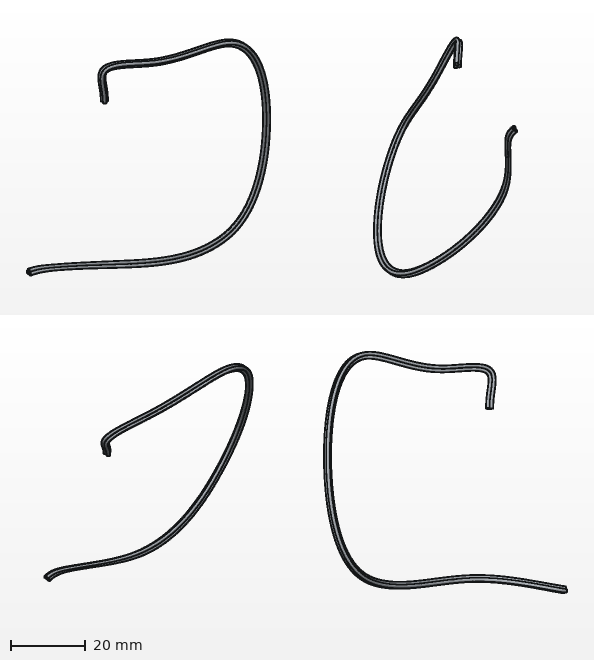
import cadquery as cq
import math

WIRE_COUNT = 3
WIRE_DIAMETER = 1.0
FIRST_WIRE_ANGLE = 90

WIRE_OFFSET = WIRE_DIAMETER / 2 / math.sin(math.pi / WIRE_COUNT)

PATH_POINTS = [
    (0.0, 0.0, 0.0),
    (3.9, 6.33, 1.2),
    (15.07, 18.7, 3.25),
    (17.78, 46.63, -1.18),
    (16.52, 55.1, -0.06),
    (15.85, 67.1, 26.94),
    (14.75, 56.14, 59.63),
    (6.93, 36.32, 57.15),
    (1.91, 23.15, 56.24),
    (2.0, 23.46, 49.87),
    (2.05, 23.59, 46.98),
]
START_DIRECTION = (0, 1, 0)
END_DIRECTION = (0, 0, -1)

GUIDE_SHIFT = 10.0


def make_path():
    """Smooth curve along the bundle axis."""
    curve = cq.Edge.makeSpline(
        [cq.Vector(*point) for point in PATH_POINTS],
        tangents=[cq.Vector(*START_DIRECTION), cq.Vector(*END_DIRECTION)],
        scale=False,
    )
    return cq.Workplane(obj=curve)


def make_wire(path, guide, angle):
    """One wire; angle is its place around the bundle axis, in degrees from +X towards +Z."""
    x = WIRE_OFFSET * math.cos(math.radians(angle))
    z = WIRE_OFFSET * math.sin(math.radians(angle))
    section = cq.Workplane("XZ").center(x, z).circle(WIRE_DIAMETER / 2)
    return section.sweep(path, auxSpine=guide)


path = make_path()
guide = path.translate((GUIDE_SHIFT, 0, 0))
wires = [make_wire(path, guide, FIRST_WIRE_ANGLE + i * 360 / WIRE_COUNT) for i in range(WIRE_COUNT)]

result = cq.Compound.makeCompound([wire.val() for wire in wires])